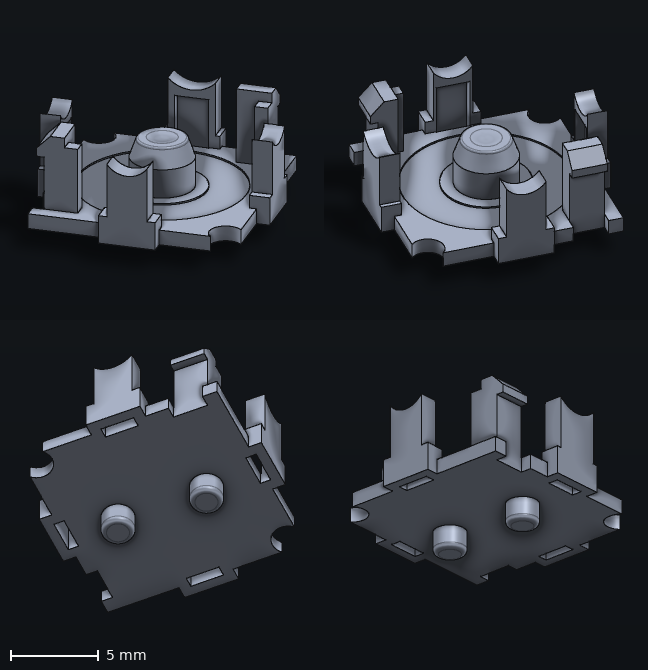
import cadquery as cq

overall_size = 13.85

plate_size = 12.27
plate_thickness = 0.93
corner_hole_diameter = 1.95
corner_hole_offset = 5.43

groove_outer_diameter = 9.99
groove_inner_diameter = 5.32
groove_depth = 0.1

boss_diameter = 3.8
boss_straight_top = 2.69
boss_top = 3.89
boss_shoulder_radius = 1.51
boss_edge_radius = 0.12
dimple_diameter = 1.83
dimple_depth = 0.14

pin_diameter = 1.95
pin_length = 1.4
pin_edge_radius = 0.32
pin_offset = 2.75

cradle_thickness = 1.22
cradle_height = 4.99
cradle_foot_width = 3.38
cradle_foot_height = 1.72
cradle_width = 2.38
wide_cradle_width = 2.84
cradle_sag = 0.6
window_width = 2.04
window_top = 3.92
window_inner_gap = 0.04
window_depth = 0.6

latch_height = 5.5
latch_inner = 4.22
latch_outer = 5.43
hook_tip = 5.9
hook_bottom = 4.15
hook_ramp = 0.83
latch_near_side = 3.12
latch_far_side = 5.24
rib_size = 0.79
rib_top = 4.9


def box_between(x_range, y_range, z_range):
    """Box spanning the given (low, high) limits on each axis."""
    sizes = [high - low for low, high in (x_range, y_range, z_range)]
    low_corner = (x_range[0], y_range[0], z_range[0])
    return cq.Workplane("XY").box(*sizes, centered=False).translate(low_corner)


def turn(body, angle):
    """Rotate a body about the Z axis by an angle in degrees."""
    return body.rotate((0, 0, 0), (0, 0, 1), angle)


def make_plate():
    """Square plate with two corner hollows and a shallow ring groove."""
    plate = cq.Workplane("XY").rect(plate_size, plate_size).extrude(plate_thickness)
    plate_edge = plate_size / 2
    corner_hole = (
        cq.Workplane("XY", origin=(corner_hole_offset, -corner_hole_offset, 0))
        .circle(corner_hole_diameter / 2)
        .extrude(plate_thickness)
    )
    corner_tip = box_between(
        (corner_hole_offset, plate_edge),
        (-plate_edge, -corner_hole_offset),
        (0, plate_thickness),
    )
    corner_cut = corner_hole.union(corner_tip)
    ring_groove = (
        cq.Workplane("XY", origin=(0, 0, plate_thickness - groove_depth))
        .circle(groove_outer_diameter / 2)
        .circle(groove_inner_diameter / 2)
        .extrude(groove_depth)
    )
    return plate.cut(corner_cut).cut(turn(corner_cut, 180)).cut(ring_groove)


def make_boss():
    """Revolved boss: straight wall, conical flank, rounded rim and dimple."""
    radius = boss_diameter / 2
    shoulder_height = boss_top - boss_edge_radius
    rim_radius = boss_shoulder_radius - boss_edge_radius
    dimple_radius = dimple_diameter / 2
    sphere_radius = (dimple_radius**2 + dimple_depth**2) / (2 * dimple_depth)
    dimple = cq.Workplane("XY").sphere(sphere_radius)
    dimple = dimple.translate((0, 0, boss_top - dimple_depth + sphere_radius))
    boss = (
        cq.Workplane("XZ")
        .lineTo(radius, 0)
        .lineTo(radius, boss_straight_top)
        .lineTo(boss_shoulder_radius, shoulder_height)
        .radiusArc((rim_radius, boss_top), -boss_edge_radius)
        .lineTo(0, boss_top)
        .close()
        .revolve(360, (0, 0, 0), (0, 1, 0))
    )
    return boss.cut(dimple)


def make_pins():
    """Two round pins under the plate with rounded lower ends."""
    return (
        cq.Workplane("XY")
        .pushPoints([(0, -pin_offset), (0, pin_offset)])
        .circle(pin_diameter / 2)
        .extrude(-pin_length)
        .faces("<Z")
        .edges()
        .fillet(pin_edge_radius)
    )


def make_cradle(width):
    """Cradle post on the -Y side: stepped foot and a concave top."""
    half_foot = cradle_foot_width / 2
    half_width = width / 2
    return (
        cq.Workplane("XZ", origin=(0, cradle_thickness - overall_size / 2, 0))
        .moveTo(-half_foot, 0)
        .lineTo(half_foot, 0)
        .lineTo(half_foot, cradle_foot_height)
        .lineTo(half_width, cradle_foot_height)
        .lineTo(half_width, cradle_height)
        .threePointArc((0, cradle_height - cradle_sag), (-half_width, cradle_height))
        .lineTo(-half_width, cradle_foot_height)
        .lineTo(-half_foot, cradle_foot_height)
        .close()
        .extrude(cradle_thickness)
    )


def make_window():
    """Pocket in the inner face of the -Y cradle, open through the plate below."""
    inner_face = cradle_thickness - overall_size / 2
    return box_between(
        (-window_width / 2, window_width / 2),
        (inner_face - window_depth, inner_face + window_inner_gap),
        (0, window_top),
    )


def make_latch():
    """Hook latch facing -X near the (-X, -Y) corner, with a stiffening rib behind it."""
    hook = (
        cq.Workplane("XZ", origin=(0, -latch_near_side, 0))
        .moveTo(-latch_inner, 0)
        .lineTo(-latch_inner, latch_height)
        .lineTo(hook_ramp - hook_tip, latch_height)
        .lineTo(-hook_tip, latch_height - hook_ramp)
        .lineTo(-hook_tip, hook_bottom)
        .lineTo(-latch_outer, hook_bottom)
        .lineTo(-latch_outer, 0)
        .close()
        .extrude(latch_far_side - latch_near_side)
    )
    rib = box_between(
        (-latch_inner, rib_size - latch_inner),
        (-latch_far_side, rib_size - latch_far_side),
        (0, rib_top),
    )
    return hook.union(rib)


def make_latch_notch():
    """Plate cut-out below the hook of the (-X, -Y) latch."""
    return box_between(
        (-plate_size / 2, -latch_outer),
        (-latch_far_side, -latch_near_side),
        (0, plate_thickness),
    )


def opposite_corner(body):
    """Reflect a (-X, -Y) corner feature to the (+X, +Y) corner, so that -X becomes +Y."""
    return turn(body.mirror("XZ"), -90)


result = make_plate().union(make_boss()).union(make_pins())

for angle, width in [(0, cradle_width), (90, cradle_width), (180, wide_cradle_width), (270, cradle_width)]:
    result = result.union(turn(make_cradle(width), angle)).cut(turn(make_window(), angle))

latch = make_latch()
notch = make_latch_notch()
result = result.cut(notch).cut(opposite_corner(notch))
result = result.union(latch).union(opposite_corner(latch))